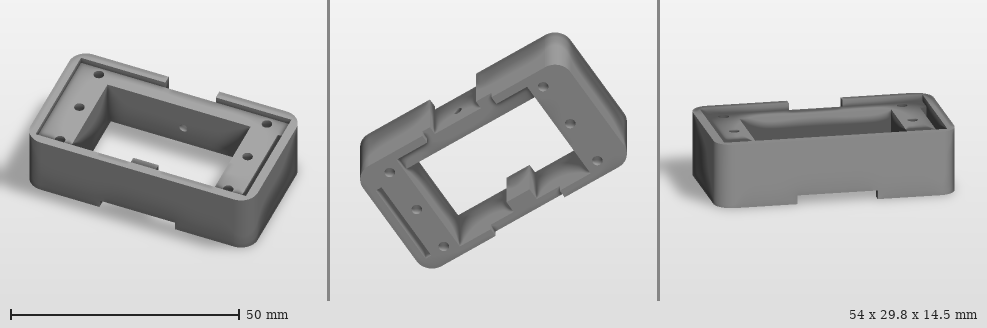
import cadquery as cq

length = 54.0
width = 29.8
height = 14.5
wall = 2.0
corner_radius = 4.0

recess_depth = 1.5
ledge_top = height - recess_depth
inner_length = length - 2 * wall
inner_width = width - 2 * wall
inner_front = -inner_width / 2
inner_back = inner_width / 2
inner_right = inner_length / 2

window_length = 34.0
back_rail = 4.05
window_back = inner_back - back_rail

screw_diameter = 2.3
screw_pitch_x = 39.95
screw_pitch_y = 11.0

slot_width = 1.5
slot_length = 20.3

gap_length = 12.0
gap_center_x = 1.0

notch_length = 18.0
notch_height = 2.0

rail_hole_diameter = 2.0
rail_hole_x = gap_center_x
rail_hole_z = ledge_top / 2

tab_length = 6.0
tab_depth = 2.9


def block(x_min, x_max, y_min, y_max, z_min, z_max):
    """Axis-aligned box between the given limits."""
    size = (x_max - x_min, y_max - y_min, z_max - z_min)
    return cq.Workplane("XY").box(*size, centered=False).translate((x_min, y_min, z_min))


def make_shell():
    body = cq.Workplane("XY").box(length, width, height, centered=(True, True, False))
    body = body.edges("|Z").fillet(corner_radius)
    recess = block(-inner_right, inner_right, inner_front, inner_back, ledge_top, height)
    return body.cut(recess)


def make_window():
    return block(-window_length / 2, window_length / 2, inner_front, window_back, 0, height)


def make_slot():
    return block(inner_right - slot_width, inner_right, window_back - slot_length, window_back, 0, height)


def make_back_gap():
    gap_left = gap_center_x - gap_length / 2
    return block(gap_left, gap_left + gap_length, inner_back, width / 2, 0, height)


def make_bottom_notch():
    return block(-notch_length / 2, notch_length / 2, -width / 2, width / 2, 0, notch_height)


def make_rail_relief():
    half_length = window_length / 2
    return block(-half_length, half_length, window_back, inner_back, 0, notch_height)


def make_screw_holes():
    grid = cq.Workplane("XY").rarray(screw_pitch_x, screw_pitch_y, 2, 3)
    return grid.circle(screw_diameter / 2).extrude(height)


def make_rail_hole():
    plane = cq.Workplane("XZ", origin=(rail_hole_x, width / 2, rail_hole_z))
    return plane.circle(rail_hole_diameter / 2).extrude(width / 2 - window_back)


def make_tab():
    return block(-tab_length / 2, tab_length / 2, inner_front, inner_front + tab_depth, notch_height, ledge_top)


result = make_shell()
for cutter in (
    make_window(),
    make_slot(),
    make_back_gap(),
    make_bottom_notch(),
    make_rail_relief(),
    make_screw_holes(),
    make_rail_hole(),
):
    result = result.cut(cutter)
result = result.union(make_tab())